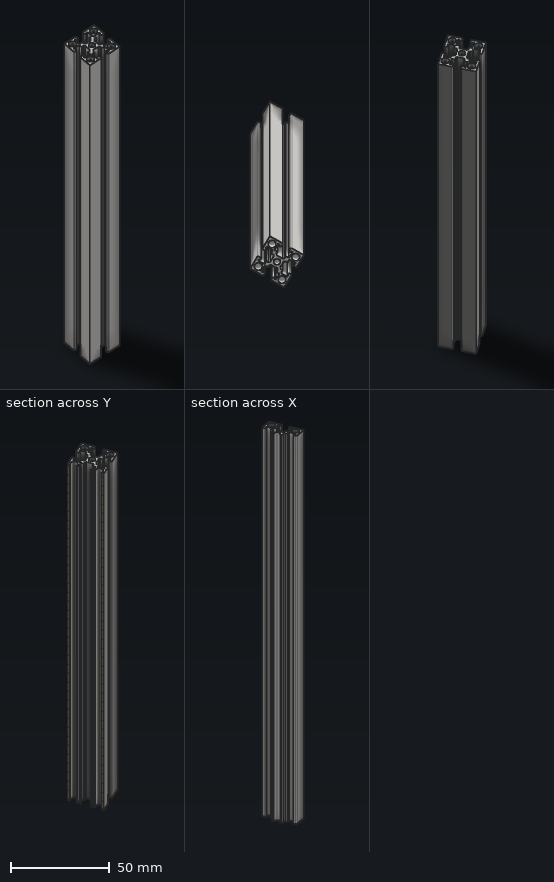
import cadquery as cq

length = 220.0
side = 20.0
half_side = side / 2

opening_half = 2.2
lip_thickness = 1.5
lip_radius = 0.7
hook_thickness = 2.2
hook_width = 1.0

post_inner = 4.2
post_bore = 4.0
post_bore_spacing = 13.9

core_width = 6.0
core_half = core_width / 2
core_bore = 3.3
floor_half = 1.8
ridge_offset = 2.5
ridge_height = 4.8


def prism(points):
    return cq.Workplane("XY").polyline(points).close().extrude(length)


def mirrored_across_diagonal(points):
    return [(y, x) for x, y in reversed(points)]


def corner_post():
    """Post in the +X +Y corner, with a hooked lip on each outer face."""
    hook_end = opening_half + hook_width
    hook_level = half_side - hook_thickness
    lip_level = half_side - lip_thickness
    lip = [
        (post_inner, post_inner),
        (post_inner, lip_level),
        (hook_end, lip_level),
        (hook_end, hook_level),
        (opening_half, hook_level),
        (opening_half, half_side),
    ]
    outline = lip + [(half_side, half_side)] + mirrored_across_diagonal(lip[1:])
    post = prism(outline)
    for level in (hook_level, half_side):
        for x, y in ((opening_half, level), (level, opening_half)):
            tip_edge = cq.selectors.NearestToPointSelector((x, y, length / 2))
            post = post.edges(tip_edge).fillet(lip_radius)
    return post


def core_quarter():
    """Quarter of the core, with the diagonal arm that carries a corner post."""
    flank = [
        (0, core_half),
        (floor_half, core_half),
        (ridge_offset, core_half + ridge_offset - floor_half),
        (ridge_offset, ridge_height),
        (post_inner, ridge_height),
    ]
    return prism([(0, 0)] + flank + mirrored_across_diagonal(flank))


quarter = corner_post().union(core_quarter())
half_bar = quarter.union(quarter.mirror("YZ"))
bar = half_bar.union(half_bar.mirror("XZ"))

core_hole = cq.Workplane("XY").circle(core_bore / 2).extrude(length)
post_holes = cq.Workplane("XY").rect(post_bore_spacing, post_bore_spacing, forConstruction=True)
post_holes = post_holes.vertices().circle(post_bore / 2).extrude(length)

result = bar.cut(core_hole).cut(post_holes).clean()